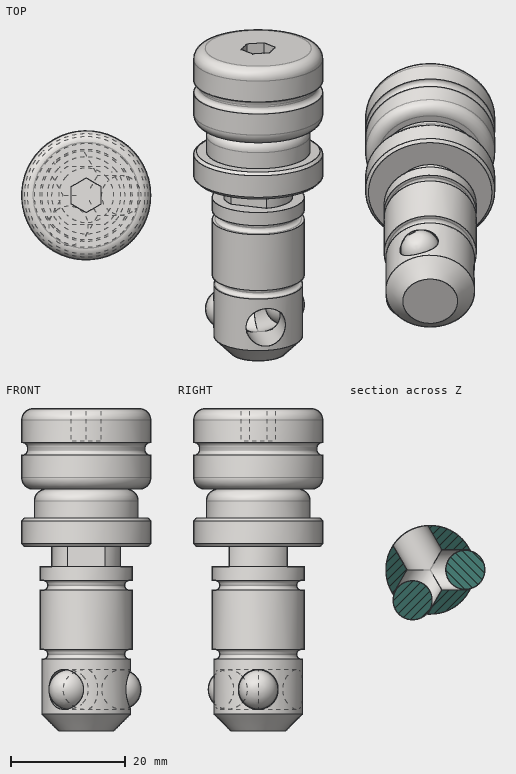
import cadquery as cq
import math

total_height = 56.1
knob_height = 14.0
boss_height = 5.0
flange_height = 5.0
neck_height = 3.5

knob_bottom = total_height - knob_height
flange_top = knob_bottom - boss_height
flange_bottom = flange_top - flange_height
shank_top = flange_bottom - neck_height

head_diameter = 22.5
head_radius = head_diameter / 2
rounding_radius = 2.0
knob_groove_width = 2.2
knob_groove_floor_width = 0.35
knob_groove_depth = 1.0
socket_across_flats = 5.2
socket_depth = 5.6

boss_radius = 9.05
flange_chamfer = 0.5

neck_radius = 6.0
neck_across_flats = 10.1
shank_radius = 8.0
rim_height = 2.4
land_height = 10.3
shank_groove_width = 1.7
shank_groove_floor_width = 0.1
shank_groove_radius = 6.75
nose_radius = 7.75
nose_chamfer = 3.0

ball_radius = 3.4
ball_hole_radius = 3.5
ball_height = 7.25
ball_offset = 6.1
hole_angles = [0, 120, 240]
ball_angles = [0, 240]


def disc(radius, bottom, height):
    """Cylinder on the Z axis."""
    return cq.Workplane("XY", origin=(0, 0, bottom)).circle(radius).extrude(height)


def ring_groove(outer_radius, floor_radius, width, floor_width, mid_height):
    """Ring cutter with straight walls and two rounded corners beside a narrow flat floor."""
    corner = (width - floor_width) / 2
    corner_centre = floor_radius + corner
    bend = corner * math.sqrt(0.5)
    half_floor = floor_width / 2
    half_width = width / 2
    profile = (
        cq.Workplane("XZ", origin=(0, 0, mid_height))
        .moveTo(outer_radius, -half_width)
        .lineTo(corner_centre, -half_width)
        .threePointArc((corner_centre - bend, -half_floor - bend), (floor_radius, -half_floor))
        .lineTo(floor_radius, half_floor)
        .threePointArc((corner_centre - bend, half_floor + bend), (corner_centre, half_width))
        .lineTo(outer_radius, half_width)
        .close()
    )
    return profile.revolve(360, (0, 0, 0), (0, 1, 0))


def make_knob():
    """Round knob with rounded rims, a groove at mid height and a hexagon socket on top."""
    knob = disc(head_radius, knob_bottom, knob_height).edges("%CIRCLE").fillet(rounding_radius)
    groove = ring_groove(
        head_radius,
        head_radius - knob_groove_depth,
        knob_groove_width,
        knob_groove_floor_width,
        knob_bottom + knob_height / 2,
    )
    socket = (
        cq.Workplane("XY", origin=(0, 0, total_height))
        .polygon(6, socket_across_flats, circumscribed=True)
        .extrude(-socket_depth)
    )
    return knob.cut(groove).cut(socket)


def make_collar():
    """Chamfered flange carrying a boss with a rounded top rim."""
    flange = disc(head_radius, flange_bottom, flange_height).edges("%CIRCLE").chamfer(flange_chamfer)
    boss = disc(boss_radius, flange_top, boss_height).faces(">Z").edges().fillet(rounding_radius)
    return flange.union(boss)


def make_ball_hole(angle):
    """Radial hole cutter that starts on the shank axis."""
    return (
        cq.Workplane("YZ")
        .center(0, ball_height)
        .circle(ball_hole_radius)
        .extrude(shank_radius)
        .rotate((0, 0, 0), (0, 0, 1), angle)
    )


def make_shank():
    """Flatted neck, grooved shank and chamfered nose with the ball holes."""
    upper_groove_top = shank_top - rim_height
    land_top = upper_groove_top - shank_groove_width
    lower_groove_top = land_top - land_height
    nose_top = lower_groove_top - shank_groove_width

    neck_flats = cq.Workplane("XY", origin=(0, 0, shank_top)).rect(2 * neck_radius, neck_across_flats)
    neck = disc(neck_radius, shank_top, neck_height).intersect(neck_flats.extrude(neck_height))
    nose = disc(nose_radius, 0, nose_top).faces("<Z").edges().chamfer(nose_chamfer)
    shank = disc(shank_radius, nose_top, shank_top - nose_top).union(nose).union(neck)

    for groove_top in (upper_groove_top, lower_groove_top):
        groove = ring_groove(
            shank_radius,
            shank_groove_radius,
            shank_groove_width,
            shank_groove_floor_width,
            groove_top - shank_groove_width / 2,
        )
        shank = shank.cut(groove)
    for angle in hole_angles:
        shank = shank.cut(make_ball_hole(angle))
    return shank


def make_ball(angle):
    """Locking ball that stands out of the hole at the given angle."""
    ball = cq.Workplane("XY").sphere(ball_radius).translate((ball_offset, 0, ball_height))
    return ball.rotate((0, 0, 0), (0, 0, 1), angle)


knob = make_knob()
collar = make_collar()
shank = make_shank()
balls = [make_ball(angle) for angle in ball_angles]

result = cq.Compound.makeCompound(
    [knob.val(), collar.val(), shank.val(), *[ball.val() for ball in balls]]
)